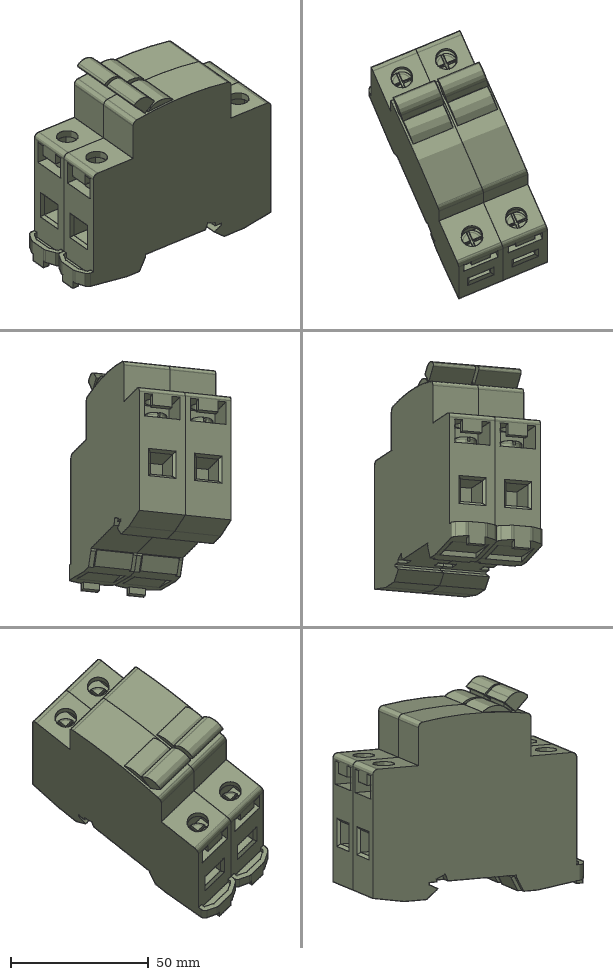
import cadquery as cq

pole_width = 17.5
pole_count = 2
edge_radius = 2.0

housing_half_depth = 40.6
shoulder_height = 49.7
tower_half_depth = 22.4
tower_corner_height = 65.4
tower_crown_height = 67.3
heel_height = 2.15
front_heel_end = 25.1
back_heel_end = 28.2

rail_ceiling = 6.2
rail_front = 16.6
rail_back = 18.1
rail_front_lip_height = 5.35
rail_front_toe = 19.5
hook_root_height = 5.4
hook_tip = (14.65, 3.7)
hook_toe = 19.2

notch_outline = [(15.1, rail_ceiling), (15.3, 7.3), (11.7, 8.8), (10.7, rail_ceiling)]
notch_depth = 3.45

clip_width = 13.9
clip_thickness = 1.55
clip_slot_height = 1.9

screw_offset = 32.3
bore_radius = 3.9
screw_radius = 4.3
screw_top = 42.15
screw_rounding = 1.0
screw_slot_width = 0.9
screw_slot_depth = 1.7
window_width = 13.45
window_floor = 38.5
window_top = 47.15
window_depth = 12.9
tab_width = 7.5
tab_thickness = 2.5
tab_bottom = 43.0

wire_opening = 8.4
wire_chamfer = 1.0
wire_height = 21.0
wire_depth = 12.9

loop_top = 8.1
loop_front = 45.6
loop_side_end = 43.1
loop_flat_width = 7.5
loop_wall = 2.0
loop_side_wall = 1.6
loop_floor = 6.0
lug_width = 6.2
lug_depth = 2.5

hub_width = 15.8
hub_radius = 8.0
hub_center = (-8.8, 61.3)
neck_width = 12.1
neck_outline = [(-16.0, 65.5), (-12.85, 65.5), (-12.85, 69.8), (-16.0, 67.2)]
lever_width = 16.3
lever_root = (-16.5, 66.55)
lever_heel = (-12.15, 70.2)
lever_arc_start = (-14.0, 71.9)
lever_crown = (-17.85, 73.6)
lever_arc_end = (-20.8, 72.5)
lever_tip = (-21.3, 71.8)
lever_tip_end = (-21.1, 71.2)


def side_plane(x=0.0):
    """Sketch plane whose coordinates are (Y, Z), extruding toward +X."""
    return cq.Workplane("YZ", origin=(x, 0, 0))


def block(width, y_range, z_range):
    """Box centred on X = 0."""
    y_low, y_high = y_range
    z_low, z_high = z_range
    return cq.Workplane("XY").box(width, y_high - y_low, z_high - z_low).translate(
        (0, (y_low + y_high) / 2, (z_low + z_high) / 2)
    )


def mirrored_back(shape):
    """Copy of a front feature at the back of the housing."""
    return shape.mirror("XZ")


def build_housing():
    """Stepped housing with a crowned tower and the rail channel below."""
    front = -housing_half_depth
    back = housing_half_depth
    housing = (
        side_plane()
        .moveTo(front, heel_height)
        .lineTo(front, shoulder_height)
        .lineTo(-tower_half_depth, shoulder_height)
        .lineTo(-tower_half_depth, tower_corner_height)
        .threePointArc((0, tower_crown_height), (tower_half_depth, tower_corner_height))
        .lineTo(tower_half_depth, shoulder_height)
        .lineTo(back, shoulder_height)
        .lineTo(back, heel_height)
        .lineTo(back_heel_end, 0)
        .lineTo(hook_toe, 0)
        .lineTo(*hook_tip)
        .lineTo(rail_back, hook_root_height)
        .lineTo(rail_back, rail_ceiling)
        .lineTo(-rail_front, rail_ceiling)
        .lineTo(-rail_front, rail_front_lip_height)
        .lineTo(-rail_front_toe, 0)
        .lineTo(-front_heel_end, 0)
        .close()
        .extrude(pole_width / 2, both=True)
    )
    for y, z in ((housing_half_depth, shoulder_height), (tower_half_depth, tower_corner_height)):
        for side in (-1, 1):
            corner_edge = cq.selectors.NearestToPointSelector((0, side * y, z))
            housing = housing.edges(corner_edge).fillet(edge_radius)
    return housing


def build_terminal_cut():
    """Front terminal: screw cavity with a tab hanging in its window, screw bore and wire opening."""
    face = -housing_half_depth
    cavity = block(window_width, (face, face + window_depth), (window_floor, window_top))
    tab = block(tab_width, (face, face + tab_thickness), (tab_bottom, window_top))
    bore = (
        cq.Workplane("XY", origin=(0, -screw_offset, window_top))
        .circle(bore_radius)
        .extrude(shoulder_height - window_top)
    )
    mouth = wire_opening + 2 * wire_chamfer
    wire_plane = cq.Workplane("XZ", origin=(0, face, wire_height))
    wire_hole = wire_plane.rect(wire_opening, wire_opening).extrude(-wire_depth)
    funnel = (
        wire_plane.rect(mouth, mouth)
        .workplane(offset=-wire_chamfer)
        .rect(wire_opening, wire_opening)
        .loft(ruled=True)
    )
    return cavity.cut(tab).union(bore).union(wire_hole).union(funnel)


def build_screw():
    """Round-edged screw head with a cross slot, standing on the window floor."""
    head = (
        cq.Workplane("XY", origin=(0, -screw_offset, window_floor))
        .circle(screw_radius)
        .extrude(screw_top - window_floor)
        .faces(">Z")
        .edges()
        .fillet(screw_rounding)
    )
    top_plane = cq.Workplane("XY", origin=(0, -screw_offset, screw_top))
    slot_length = 2 * screw_radius
    slot_across = top_plane.rect(slot_length, screw_slot_width).extrude(-screw_slot_depth)
    slot_along = top_plane.rect(screw_slot_width, slot_length).extrude(-screw_slot_depth)
    return head.cut(slot_across).cut(slot_along)


def build_notches():
    """Notches in both side faces."""
    notch = side_plane(-pole_width / 2).polyline(notch_outline).close().extrude(notch_depth)
    return notch.union(notch.mirror("YZ"))


def build_clip():
    """Clip nose that reaches into the rail channel, parallel to the foot wall."""
    return (
        side_plane()
        .moveTo(-rail_front, rail_front_lip_height)
        .lineTo(-rail_front + clip_thickness, rail_front_lip_height)
        .lineTo(-rail_front_toe + clip_thickness, 0)
        .lineTo(-rail_front_toe, 0)
        .close()
        .extrude(clip_width / 2, both=True)
    )


def build_loop():
    """Pull loop with a recessed top, a sloping underside and a lug below."""
    half_width = pole_width / 2
    half_flat = loop_flat_width / 2
    face = -housing_half_depth
    inner_half = half_width - loop_side_wall
    slant = (loop_front - loop_side_end) / (half_width - half_flat)
    inner_front = -loop_front + loop_wall
    inner_corner = inner_front + slant * (inner_half - half_flat)
    outer_points = [
        (-half_width, face),
        (-half_width, -loop_side_end),
        (-half_flat, -loop_front),
        (half_flat, -loop_front),
        (half_width, -loop_side_end),
        (half_width, face),
    ]
    inner_points = [
        (-inner_half, face),
        (-inner_half, inner_corner),
        (-half_flat, inner_front),
        (half_flat, inner_front),
        (inner_half, inner_corner),
        (inner_half, face),
    ]
    loop = cq.Workplane("XY").polyline(outer_points).close().extrude(loop_top)
    loop = loop.edges("|Z").edges("not >Y").fillet(edge_radius)
    recess = (
        cq.Workplane("XY", origin=(0, 0, loop_floor))
        .polyline(inner_points)
        .close()
        .extrude(loop_top - loop_floor)
    )
    heel_slope = heel_height / (housing_half_depth - front_heel_end)
    under_slope = (
        side_plane()
        .moveTo(-front_heel_end, 0)
        .lineTo(-loop_front, 0)
        .lineTo(-loop_front, heel_slope * (loop_front - front_heel_end))
        .close()
        .extrude(half_width, both=True)
    )
    lug = block(lug_width, (-loop_front, -loop_front + lug_depth), (0, loop_floor))
    return loop.cut(under_slope).cut(recess).union(lug)


def build_toggle():
    """Hub mostly sunk in the housing crown, joined by a narrow neck to the lever."""
    hub = side_plane().center(*hub_center).circle(hub_radius).extrude(hub_width / 2, both=True)
    neck = side_plane().polyline(neck_outline).close().extrude(neck_width / 2, both=True)
    lever = (
        side_plane()
        .moveTo(*lever_root)
        .lineTo(*lever_heel)
        .lineTo(*lever_arc_start)
        .threePointArc(lever_crown, lever_arc_end)
        .threePointArc(lever_tip, lever_tip_end)
        .close()
        .extrude(lever_width / 2, both=True)
    )
    return hub.union(neck).union(lever)


def build_pole():
    """One complete pole, centred on X = 0."""
    clip_slot = block(clip_width, (-housing_half_depth, -front_heel_end), (0, clip_slot_height))
    terminal_cut = build_terminal_cut()
    screw = build_screw()
    pole = build_housing().cut(clip_slot).cut(build_notches())
    pole = pole.cut(terminal_cut).cut(mirrored_back(terminal_cut))
    pole = pole.union(screw).union(mirrored_back(screw))
    return pole.union(build_toggle()).union(build_clip()).union(build_loop())


pole = build_pole()
first_x = -pole_width * (pole_count - 1) / 2
poles = [pole.translate((first_x + i * pole_width, 0, 0)).val() for i in range(pole_count)]

result = cq.Compound.makeCompound(poles)